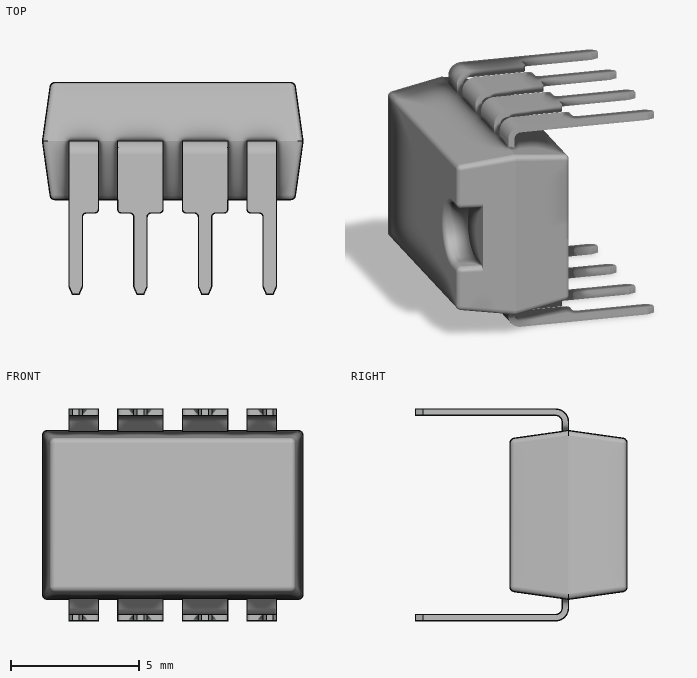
import cadquery as cq
import math


body_length = 10.16
body_width = 6.58
half_thickness = 2.29
draft_angle = 8.0
edge_radius = 0.2

notch_radius = 1.2
notch_depth = 1.0
notch_centre_x = -4.06

leads_per_side = 4
lead_pitch = 2.52
lead_thickness = 0.25
lead_span = 8.26
lead_drop = 5.97
bend_outer_radius = 0.51
shoulder_width = 1.78
shoulder_drop = 2.8
shoulder_radius = 0.15
stem_width = 0.53
tip_width = stem_width / 2
tip_length = 0.3
embedded_length = 1.02

position_tolerance = 0.001

draft_inset = half_thickness * math.tan(math.radians(draft_angle))
bend_inner_radius = bend_outer_radius - lead_thickness
lead_outer_z = lead_span / 2
lead_inner_z = lead_outer_z - lead_thickness
lead_root_z = body_width / 2 - embedded_length


def body_half(direction):
    """Drafted half of the body, on the +Y side (1) or the -Y side (-1)."""
    return (
        cq.Workplane("XZ")
        .rect(body_length, body_width)
        .workplane(offset=-direction * half_thickness)
        .rect(body_length - 2 * draft_inset, body_width - 2 * draft_inset)
        .loft(ruled=True)
    )


def make_body():
    """Double-drafted block with the pin-one notch and rounded edges."""
    slot_length = body_length / 2 + notch_centre_x
    notch = (
        cq.Workplane("XZ", origin=(notch_centre_x, half_thickness, 0))
        .circle(notch_radius)
        .extrude(notch_depth)
        .center(-slot_length / 2, 0)
        .rect(slot_length, 2 * notch_radius)
        .extrude(notch_depth)
    )
    body = body_half(1).union(body_half(-1)).cut(notch)

    floor_y = half_thickness - notch_depth
    rounded_edges = [
        edge
        for edge in body.edges().vals()
        if min(abs(edge.Center().y), abs(edge.Center().y - floor_y)) > position_tolerance
    ]
    return body.newObject(rounded_edges).fillet(edge_radius)


def bent_strip():
    """L-shaped side profile of the +Z leads, swept across the whole row."""
    turn = math.sqrt(0.5)
    bend_y = -bend_outer_radius
    bend_z = lead_outer_z - bend_outer_radius
    return (
        cq.Workplane("YZ")
        .moveTo(0, lead_root_z)
        .lineTo(0, bend_z)
        .threePointArc(
            (bend_y + bend_outer_radius * turn, bend_z + bend_outer_radius * turn),
            (bend_y, lead_outer_z),
        )
        .lineTo(-lead_drop, lead_outer_z)
        .lineTo(-lead_drop, lead_inner_z)
        .lineTo(bend_y, lead_inner_z)
        .threePointArc(
            (bend_y + bend_inner_radius * turn, bend_z + bend_inner_radius * turn),
            (-lead_thickness, bend_z),
        )
        .lineTo(-lead_thickness, lead_root_z)
        .close()
        .extrude(body_length / 2, both=True)
    )


def lead_blank(stem_x, shoulder_left, shoulder_right):
    """Outline of one lead in XY, as a prism tall enough to span the bend."""
    stem_end = -lead_drop + tip_length
    shoulder_middle = (shoulder_left + shoulder_right) / 2
    prism_height = lead_outer_z - lead_root_z
    blank = (
        cq.Workplane("XY", origin=(0, 0, lead_root_z))
        .center(shoulder_middle, -shoulder_drop / 2)
        .rect(shoulder_right - shoulder_left, shoulder_drop)
        .extrude(prism_height)
    )
    stem = (
        cq.Workplane("XY", origin=(stem_x, 0, lead_root_z))
        .moveTo(-stem_width / 2, -shoulder_drop)
        .lineTo(-stem_width / 2, stem_end)
        .lineTo(-tip_width / 2, -lead_drop)
        .lineTo(tip_width / 2, -lead_drop)
        .lineTo(stem_width / 2, stem_end)
        .lineTo(stem_width / 2, -shoulder_drop)
        .close()
        .extrude(prism_height)
    )
    blank = blank.union(stem)
    corners = [
        edge
        for edge in blank.edges("|Z").vals()
        if abs(edge.Center().y + shoulder_drop) < position_tolerance
    ]
    return blank.newObject(corners).fillet(shoulder_radius)


def make_lead_row():
    """Leads on the +Z side; the end leads have a shoulder on the inner side only."""
    strip = bent_strip()
    row_half = (leads_per_side - 1) * lead_pitch / 2
    row_edge = row_half + stem_width / 2
    row = cq.Workplane("XY")
    for index in range(leads_per_side):
        stem_x = index * lead_pitch - row_half
        shoulder_left = max(stem_x - shoulder_width / 2, -row_edge)
        shoulder_right = min(stem_x + shoulder_width / 2, row_edge)
        row = row.add(strip.intersect(lead_blank(stem_x, shoulder_left, shoulder_right)))
    return row.combine()


upper_leads = make_lead_row()
lower_leads = upper_leads.mirror("XY")
result = make_body().union(upper_leads).union(lower_leads)